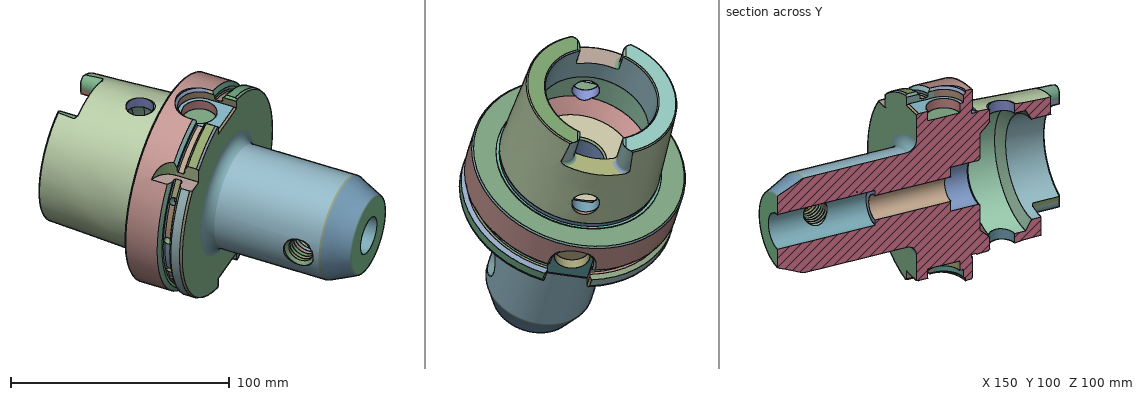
import cadquery as cq
import math


CUT_CLEARANCE = 1.5

TOTAL_LENGTH = 150.0
SHANK_LENGTH = TOTAL_LENGTH / 3
FLANGE_END = SHANK_LENGTH + 29.0
NOSE_CONE_START = 136.8

SHANK_FRONT_RADIUS = 35.2
SHANK_BASE_RADIUS = 37.6
SHANK_EDGE_CHAMFER = 0.6
UNDERCUT_WIDTH = 2.1
UNDERCUT_DEPTH = 0.5
FACE_RECESS_RADIUS = 38.7
FACE_RECESS_DEPTH = 0.5

MOUTH_RADIUS = 26.2
MOUTH_CHAMFER = 0.6
MOUTH_LENGTH = 20.0
CAVITY_RADIUS = 31.5
CAVITY_WALL_END = 40.0
SHOULDER_ANGLE = 60.0
CAVITY_FLOOR_RADIUS = 25.4

COOLANT_SOCKET_RADIUS = 11.4
COOLANT_SOCKET_CHAMFER = 0.9
COOLANT_SOCKET_DEPTH = 15.0
THROUGH_BORE_RADIUS = 6.3
TOOL_BORE_RADIUS = 9.0
TOOL_BORE_DEPTH = 50.0

DRIVE_SLOT_HALF_WIDTH = 10.0
DRIVE_SLOT_TOP_DEPTH = 10.0
DRIVE_SLOT_BOTTOM_DEPTH = 15.0
DRIVE_SLOT_FLOOR_FILLET = 1.6
TOOTH_CORNER_RADIUS = 5.2
TOOTH_HEIGHT = 32.1
TOOTH_LEAD_IN_WIDTH = 1.2
TOOTH_LEAD_IN_DEPTH = 0.6

CROSS_HOLE_X = 35.0
CROSS_HOLE_RADIUS = 6.3
CROSS_HOLE_CHAMFER = 0.5

FLANGE_RADIUS = TOTAL_LENGTH / 3
FLANGE_FRONT_CHAMFER = 0.8
FLANGE_REAR_CHAMFER_LENGTH = 1.2
FLANGE_REAR_CHAMFER_HEIGHT = 0.5
GROOVE_CENTRE_X = SHANK_LENGTH + 20.0
GROOVE_MOUTH_WIDTH = 6.9
GROOVE_FLOOR_WIDTH = 3.9
GROOVE_FLANK_RADIUS = 48.0
GROOVE_FLOOR_RADIUS = 46.0
GROOVE_FLOOR_BEVEL = 0.6

GROOVE_HOLE_ANGLES = (30.0, 5.0, -20.0, -30.0)
GROOVE_HOLE_RADIUS = 1.8
GROOVE_HOLE_DEPTH = 6.0

KEY_SLOT_CENTRE_X = 64.8
KEY_SLOT_HALF_WIDTH = 9.9
KEY_SLOT_FLOOR = 44.0
KEY_SLOT_CHAMFER = 1.2
KEY_SLOT_CHAMFER_BASE = 47.7
KEY_HOLE_RADIUS = 8.1
KEY_HOLE_DEPTH = 5.0

NOTCH_WALL_Y = -31.5
NOTCH_FLOOR_Z = 31.4
NOTCH_END_X = 58.5
NOTCH_END_RADIUS = 9.0

NOSE_RADIUS = FLANGE_RADIUS / 2
NOSE_ROOT_FILLET = 5.0
NOSE_CONE_ANGLE = 24.5
NOSE_CORNER_FILLET = 2.4
NOSE_TIP_FILLET = 1.2

SCREW_X = 126.0
SCREW_MAJOR_RADIUS = 7.0
SCREW_MINOR_RADIUS = 6.0
SCREW_MOUTH_RADIUS = 7.5
SCREW_MOUTH_DEPTH = 1.2
SCREW_PITCH = 2.0

RECESS_X = 125.0
RECESS_RADIUS = 7.8
RECESS_DEPTH = 6.0


def revolve_about_x(points):
    """Turn a closed (x, radius) outline about the X axis."""
    return cq.Workplane("XY").polyline(points).close().revolve(360, (0, 0, 0), (1, 0, 0))


def shank():
    undercut_start = SHANK_LENGTH - UNDERCUT_WIDTH
    undercut_radius = SHANK_BASE_RADIUS - UNDERCUT_DEPTH
    root = SHANK_LENGTH + FACE_RECESS_DEPTH
    return revolve_about_x([
        (0, 0),
        (0, SHANK_FRONT_RADIUS - SHANK_EDGE_CHAMFER),
        (SHANK_EDGE_CHAMFER, SHANK_FRONT_RADIUS),
        (undercut_start, SHANK_BASE_RADIUS),
        (undercut_start + UNDERCUT_DEPTH, undercut_radius),
        (root, undercut_radius),
        (root, 0),
    ])


def flange():
    recess_end = SHANK_LENGTH + FACE_RECESS_DEPTH
    mouth = GROOVE_MOUTH_WIDTH / 2
    floor = GROOVE_FLOOR_WIDTH / 2
    bevel_top = GROOVE_FLOOR_RADIUS + GROOVE_FLOOR_BEVEL
    return revolve_about_x([
        (recess_end, 0),
        (recess_end, FACE_RECESS_RADIUS),
        (SHANK_LENGTH, FACE_RECESS_RADIUS),
        (SHANK_LENGTH, FLANGE_RADIUS - FLANGE_FRONT_CHAMFER),
        (SHANK_LENGTH + FLANGE_FRONT_CHAMFER, FLANGE_RADIUS),
        (GROOVE_CENTRE_X - mouth, FLANGE_RADIUS),
        (GROOVE_CENTRE_X - floor, GROOVE_FLANK_RADIUS),
        (GROOVE_CENTRE_X - floor, bevel_top),
        (GROOVE_CENTRE_X - floor + GROOVE_FLOOR_BEVEL, GROOVE_FLOOR_RADIUS),
        (GROOVE_CENTRE_X + floor - GROOVE_FLOOR_BEVEL, GROOVE_FLOOR_RADIUS),
        (GROOVE_CENTRE_X + floor, bevel_top),
        (GROOVE_CENTRE_X + floor, GROOVE_FLANK_RADIUS),
        (GROOVE_CENTRE_X + mouth, FLANGE_RADIUS),
        (FLANGE_END - FLANGE_REAR_CHAMFER_LENGTH, FLANGE_RADIUS),
        (FLANGE_END, FLANGE_RADIUS - FLANGE_REAR_CHAMFER_HEIGHT),
        (FLANGE_END, 0),
    ])


def nose():
    cone_drop = (TOTAL_LENGTH - NOSE_CONE_START) * math.tan(math.radians(NOSE_CONE_ANGLE))
    body = revolve_about_x([
        (FLANGE_END, 0),
        (FLANGE_END, NOSE_RADIUS),
        (NOSE_CONE_START, NOSE_RADIUS),
        (TOTAL_LENGTH, NOSE_RADIUS - cone_drop),
        (TOTAL_LENGTH, 0),
    ])
    body = body.faces(">X").edges().fillet(NOSE_TIP_FILLET)
    return body.edges(cq.selectors.RadiusNthSelector(-1)).edges(">X").fillet(NOSE_CORNER_FILLET)


def nose_root_fillet():
    """Concave ring blending the nose into the rear face of the flange."""
    outer = NOSE_RADIUS + NOSE_ROOT_FILLET
    end = FLANGE_END + NOSE_ROOT_FILLET
    diagonal = NOSE_ROOT_FILLET * (1 - math.sqrt(0.5))
    return (
        cq.Workplane("XY")
        .moveTo(FLANGE_END, 0)
        .lineTo(FLANGE_END, outer)
        .threePointArc((FLANGE_END + diagonal, NOSE_RADIUS + diagonal), (end, NOSE_RADIUS))
        .lineTo(end, 0)
        .close()
        .revolve(360, (0, 0, 0), (1, 0, 0))
    )


def axial_bores():
    shoulder_length = (CAVITY_RADIUS - MOUTH_RADIUS) / math.tan(math.radians(SHOULDER_ANGLE))
    mouth_rim = MOUTH_RADIUS + MOUTH_CHAMFER
    shoulder_end = MOUTH_LENGTH + shoulder_length
    cavity_end = CAVITY_WALL_END + CAVITY_RADIUS - CAVITY_FLOOR_RADIUS
    socket_end = cavity_end + COOLANT_SOCKET_DEPTH
    tool_bore_start = TOTAL_LENGTH - TOOL_BORE_DEPTH
    return revolve_about_x([
        (0, 0),
        (0, mouth_rim),
        (MOUTH_CHAMFER, MOUTH_RADIUS),
        (MOUTH_LENGTH, MOUTH_RADIUS),
        (shoulder_end, CAVITY_RADIUS),
        (CAVITY_WALL_END, CAVITY_RADIUS),
        (cavity_end, CAVITY_FLOOR_RADIUS),
        (cavity_end, COOLANT_SOCKET_RADIUS + COOLANT_SOCKET_CHAMFER),
        (cavity_end + COOLANT_SOCKET_CHAMFER, COOLANT_SOCKET_RADIUS),
        (socket_end, COOLANT_SOCKET_RADIUS),
        (socket_end, THROUGH_BORE_RADIUS),
        (tool_bore_start, THROUGH_BORE_RADIUS),
        (tool_bore_start, TOOL_BORE_RADIUS),
        (TOTAL_LENGTH, TOOL_BORE_RADIUS),
        (TOTAL_LENGTH, 0),
    ])


def drive_slot(depth):
    """Cutter for one drive slot on +Z, flaring outward above the rounded tooth corners."""
    half = DRIVE_SLOT_HALF_WIDTH
    corner = TOOTH_CORNER_RADIUS
    arc_start = TOOTH_HEIGHT - corner
    arc_side = half + corner * (1 - math.sqrt(0.5))
    arc_height = arc_start + corner * math.sqrt(0.5)
    flare = half + corner
    top = SHANK_BASE_RADIUS + CUT_CLEARANCE
    slot = (
        cq.Workplane("YZ")
        .moveTo(-half, 0)
        .lineTo(half, 0)
        .lineTo(half, arc_start)
        .threePointArc((arc_side, arc_height), (flare, TOOTH_HEIGHT))
        .lineTo(top, TOOTH_HEIGHT)
        .lineTo(top, top)
        .lineTo(-top, top)
        .lineTo(-top, TOOTH_HEIGHT)
        .lineTo(-flare, TOOTH_HEIGHT)
        .threePointArc((-arc_side, arc_height), (-half, arc_start))
        .close()
        .extrude(depth)
    )
    slot = slot.faces(">X").edges("not (<Z or >Z)").fillet(DRIVE_SLOT_FLOOR_FILLET)
    lead_in = (
        cq.Workplane("XY")
        .polyline([
            (0, -half - TOOTH_LEAD_IN_WIDTH),
            (0, half + TOOTH_LEAD_IN_WIDTH),
            (TOOTH_LEAD_IN_DEPTH, half),
            (TOOTH_LEAD_IN_DEPTH, -half),
        ])
        .close()
        .extrude(top)
    )
    return slot.union(lead_in)


def cross_hole():
    """Cutter for the vertical hole through both shank walls, with chamfered mouths."""
    taper = (SHANK_BASE_RADIUS - SHANK_FRONT_RADIUS) / SHANK_LENGTH
    surface = SHANK_FRONT_RADIUS + taper * CROSS_HOLE_X
    reach = surface + CROSS_HOLE_CHAMFER
    chamfer_base = surface - CROSS_HOLE_CHAMFER
    mouth = CROSS_HOLE_RADIUS + reach - chamfer_base
    return (
        cq.Workplane("XZ", origin=(CROSS_HOLE_X, 0, 0))
        .polyline([
            (0, -reach),
            (mouth, -reach),
            (CROSS_HOLE_RADIUS, -chamfer_base),
            (CROSS_HOLE_RADIUS, chamfer_base),
            (mouth, reach),
            (0, reach),
        ])
        .close()
        .revolve(360, (0, 0, 0), (0, 1, 0))
    )


def u_outline(z, half_width):
    """Closed U outline at height z, round toward the shank and open past the flange rear."""
    rear = FLANGE_END + CUT_CLEARANCE
    return (
        cq.Workplane("XY", origin=(0, 0, z))
        .moveTo(rear, -half_width)
        .lineTo(KEY_SLOT_CENTRE_X, -half_width)
        .threePointArc((KEY_SLOT_CENTRE_X - half_width, 0), (KEY_SLOT_CENTRE_X, half_width))
        .lineTo(rear, half_width)
        .close()
    )


def key_slot():
    """Cutter for the +Z key slot, its bevelled edges and the round pocket in its floor."""
    top = FLANGE_RADIUS + CUT_CLEARANCE
    slot = u_outline(KEY_SLOT_FLOOR, KEY_SLOT_HALF_WIDTH).extrude(top - KEY_SLOT_FLOOR)
    bevel = u_outline(KEY_SLOT_CHAMFER_BASE, KEY_SLOT_HALF_WIDTH).extrude(KEY_SLOT_CHAMFER, taper=-45)
    rim_base = KEY_SLOT_CHAMFER_BASE + KEY_SLOT_CHAMFER
    rim = u_outline(rim_base, KEY_SLOT_HALF_WIDTH + KEY_SLOT_CHAMFER).extrude(top - rim_base)
    pocket = (
        cq.Workplane("XY", origin=(KEY_SLOT_CENTRE_X, 0, KEY_SLOT_FLOOR - KEY_HOLE_DEPTH))
        .circle(KEY_HOLE_RADIUS)
        .extrude(top - KEY_SLOT_FLOOR + KEY_HOLE_DEPTH)
    )
    rear_bevel = (
        cq.Workplane("XZ", origin=(0, KEY_SLOT_HALF_WIDTH, 0))
        .polyline([
            (FLANGE_END - FLANGE_REAR_CHAMFER_LENGTH, KEY_SLOT_FLOOR),
            (FLANGE_END, KEY_SLOT_FLOOR),
            (FLANGE_END, KEY_SLOT_FLOOR - FLANGE_REAR_CHAMFER_HEIGHT),
        ])
        .close()
        .extrude(2 * KEY_SLOT_HALF_WIDTH)
    )
    return slot.union(bevel).union(rim).union(pocket).union(rear_bevel)


def orientation_notch():
    """Cutter for the corner notch, ending in a vertical milled quarter round."""
    arc_centre_x = NOTCH_END_X + NOTCH_END_RADIUS
    arc_centre_y = NOTCH_WALL_Y - NOTCH_END_RADIUS
    diagonal = NOTCH_END_RADIUS * math.sqrt(0.5)
    rear = FLANGE_END + CUT_CLEARANCE
    outside = -FLANGE_RADIUS - CUT_CLEARANCE
    return (
        cq.Workplane("XY", origin=(0, 0, NOTCH_FLOOR_Z))
        .moveTo(rear, NOTCH_WALL_Y)
        .lineTo(arc_centre_x, NOTCH_WALL_Y)
        .threePointArc((arc_centre_x - diagonal, arc_centre_y + diagonal), (NOTCH_END_X, arc_centre_y))
        .lineTo(NOTCH_END_X, outside)
        .lineTo(rear, outside)
        .close()
        .extrude(FLANGE_RADIUS - NOTCH_FLOOR_Z)
    )


def groove_hole(angle):
    """Cutter for a radial hole in the groove floor, turned from -Y toward +Z by angle."""
    tip = GROOVE_FLOOR_RADIUS - GROOVE_HOLE_DEPTH
    return (
        cq.Workplane("XZ", origin=(GROOVE_CENTRE_X, -tip, 0))
        .circle(GROOVE_HOLE_RADIUS)
        .extrude(FLANGE_RADIUS - tip)
        .rotate((0, 0, 0), (1, 0, 0), -angle)
    )


def screw_hole():
    """Cutter for the -Y clamping screw hole: countersunk mouth and ring-shaped threads."""
    mouth_floor = NOSE_RADIUS - SCREW_MOUTH_DEPTH
    thread_end = mouth_floor - (SCREW_MOUTH_RADIUS - SCREW_MINOR_RADIUS)
    points = [(0, 0), (SCREW_MINOR_RADIUS, 0)]
    height = TOOL_BORE_RADIUS
    while height + SCREW_PITCH < thread_end:
        points.append((SCREW_MINOR_RADIUS, height))
        points.append((SCREW_MAJOR_RADIUS, height + SCREW_PITCH / 2))
        height += SCREW_PITCH
    points += [
        (SCREW_MINOR_RADIUS, height),
        (SCREW_MINOR_RADIUS, thread_end),
        (SCREW_MOUTH_RADIUS, mouth_floor),
        (SCREW_MOUTH_RADIUS, NOSE_RADIUS),
        (0, NOSE_RADIUS),
    ]
    cutter = cq.Workplane("XY").polyline(points).close().revolve(360, (0, 0, 0), (0, 1, 0))
    return cutter.mirror("XZ").translate((SCREW_X, 0, 0))


def nose_recess():
    """Cutter for the plain blind recess opposite the clamping screw."""
    return (
        cq.Workplane("XZ", origin=(RECESS_X, NOSE_RADIUS, 0))
        .circle(RECESS_RADIUS)
        .extrude(RECESS_DEPTH)
    )


body = shank().union(flange()).union(nose_root_fillet()).union(nose())
body = body.cut(axial_bores()).cut(cross_hole())
body = body.cut(drive_slot(DRIVE_SLOT_TOP_DEPTH))
body = body.cut(drive_slot(DRIVE_SLOT_BOTTOM_DEPTH).mirror("XY"))
body = body.cut(key_slot()).cut(key_slot().mirror("XY"))
body = body.cut(orientation_notch())
for hole_angle in GROOVE_HOLE_ANGLES:
    body = body.cut(groove_hole(hole_angle))
body = body.cut(screw_hole()).cut(nose_recess())

result = body